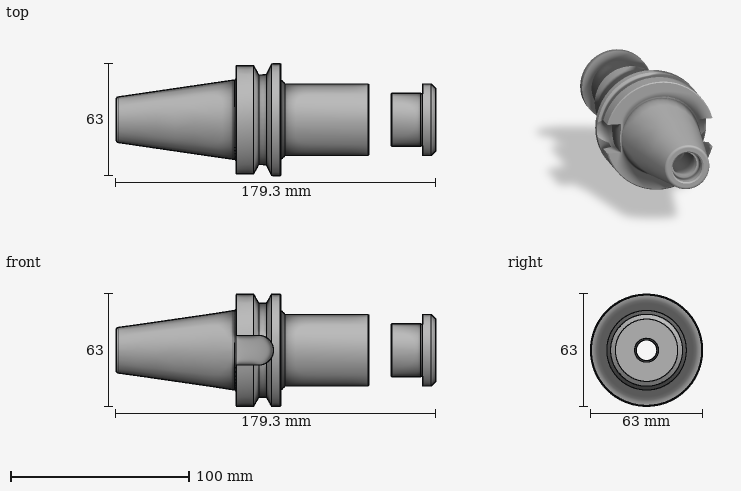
import cadquery as cq
import math

overall_length = 179.3

taper_length = 65.5
gauge_diameter = 44.5
taper_ratio = 7 / 24
small_end_fillet = 1.5

flange_start = 67.0
flange_root_fillet = 0.82
flange_end = 92.5
flange_diameter = 63.0
flange_chamfer = 0.5
groove_center = 82.1
groove_floor_width = 4.3
groove_floor_diameter = 52.9
groove_slope = 30.0

slot_width = 16.7
slot_floor_offset = 22.6
slot_end = 88.2

nose_end = 141.7
nose_diameter = 40.3
nose_root_chamfer = 2.2
nose_end_chamfer = 0.5

socket_diameter = 17.2
socket_depth = 7.4
socket_chamfer = 0.7
thread_bore_diameter = 13.8
thread_bore_end = 35.9
through_bore_diameter = 11.5

plug_start = 154.2
plug_neck_end = 170.7
plug_head_start = 171.8
plug_diameter = 30.0
relief_diameter = 29.4
plug_end_chamfer = 0.5
plug_head_diameter = nose_diameter
plug_head_chamfer = 2.7
plug_bore_diameter = 13.5


def revolve_about_x(outline):
    """Solid of revolution about X from a closed outline of (axial position, radius) points."""
    return cq.Workplane("XY").polyline(outline).close().revolve(360, (0, 0), (1, 0))


def bore_along_x(start, end, diameter):
    """Round cutter along the axis."""
    return cq.Workplane("YZ").workplane(offset=start).circle(diameter / 2).extrude(end - start)


def make_holder_blank():
    """Filleted taper, flange and nose without groove, slots or bore."""
    gauge_radius = gauge_diameter / 2
    small_radius = gauge_radius - taper_length * taper_ratio / 2
    flange_radius = flange_diameter / 2
    nose_radius = nose_diameter / 2
    blank = revolve_about_x([
        (0, 0),
        (0, small_radius),
        (taper_length, gauge_radius),
        (flange_start, gauge_radius),
        (flange_start, flange_radius - flange_chamfer),
        (flange_start + flange_chamfer, flange_radius),
        (flange_end - flange_chamfer, flange_radius),
        (flange_end, flange_radius - flange_chamfer),
        (flange_end, nose_radius + nose_root_chamfer),
        (flange_end + nose_root_chamfer, nose_radius),
        (nose_end - nose_end_chamfer, nose_radius),
        (nose_end, nose_radius - nose_end_chamfer),
        (nose_end, 0),
    ])
    blank = blank.faces("<X").edges().fillet(small_end_fillet)
    flange_front = blank.faces("|X").faces(">X[-3]")
    collar_edge = flange_front.edges(cq.selectors.RadiusNthSelector(0))
    return collar_edge.fillet(flange_root_fillet)


def make_gripper_groove():
    """Ring cutter with a trapezoidal section that opens outwards."""
    floor_radius = groove_floor_diameter / 2
    mouth_radius = flange_diameter / 2
    half_floor = groove_floor_width / 2
    half_mouth = half_floor + (mouth_radius - floor_radius) * math.tan(math.radians(groove_slope))
    return revolve_about_x([
        (groove_center - half_floor, floor_radius),
        (groove_center - half_mouth, mouth_radius),
        (groove_center + half_mouth, mouth_radius),
        (groove_center + half_floor, floor_radius),
    ])


def make_drive_slot():
    """Round-ended cutter for the slot on the -Y flank of the flange."""
    slot_depth = flange_diameter / 2 - slot_floor_offset
    slot_radius = slot_width / 2
    arc_start = slot_end - slot_radius
    return (
        cq.Workplane("XZ", origin=(0, -slot_floor_offset, 0))
        .moveTo(flange_start, -slot_radius)
        .lineTo(arc_start, -slot_radius)
        .threePointArc((slot_end, 0), (arc_start, slot_radius))
        .lineTo(flange_start, slot_radius)
        .close()
        .extrude(slot_depth)
    )


def make_holder():
    """Tool holder: taper shank, slotted flange and hollow nose."""
    holder = make_holder_blank().cut(make_gripper_groove())
    near_slot = make_drive_slot()
    for slot in (near_slot, near_slot.mirror("XZ")):
        holder = holder.cut(slot)
    socket_radius = socket_diameter / 2
    socket = revolve_about_x([
        (0, 0),
        (0, socket_radius + socket_chamfer),
        (socket_chamfer, socket_radius),
        (socket_depth, socket_radius),
        (socket_depth, 0),
    ])
    thread_bore = bore_along_x(0, thread_bore_end, thread_bore_diameter)
    through_bore = bore_along_x(0, nose_end, through_bore_diameter)
    return holder.cut(socket).cut(thread_bore).cut(through_bore)


def make_plug():
    """Flanged plug with a relief groove under its head and a through bore."""
    plug_radius = plug_diameter / 2
    relief_radius = relief_diameter / 2
    head_radius = plug_head_diameter / 2
    plug = revolve_about_x([
        (plug_start, 0),
        (plug_start, plug_radius - plug_end_chamfer),
        (plug_start + plug_end_chamfer, plug_radius),
        (plug_neck_end, plug_radius),
        (plug_neck_end, relief_radius),
        (plug_head_start, relief_radius),
        (plug_head_start, head_radius),
        (overall_length - plug_head_chamfer, head_radius),
        (overall_length, head_radius - plug_head_chamfer),
        (overall_length, 0),
    ])
    return plug.cut(bore_along_x(plug_start, overall_length, plug_bore_diameter))


holder = make_holder()
plug = make_plug()
result = cq.Compound.makeCompound([holder.val(), plug.val()])